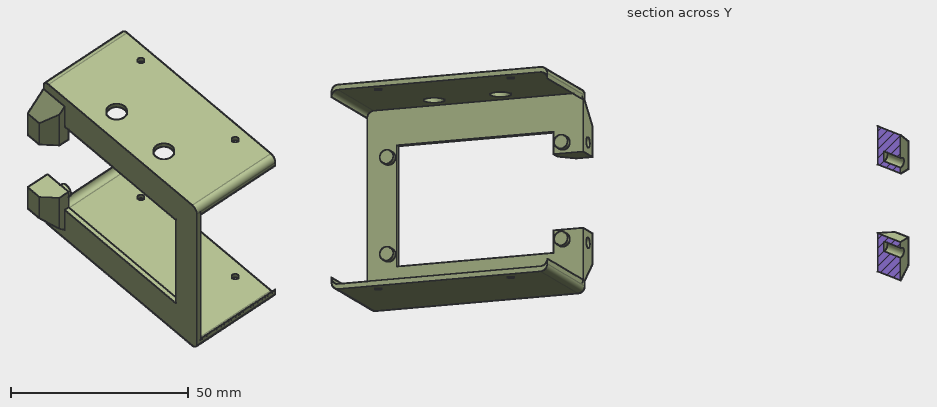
import cadquery as cq

width = 65.0
height = 59.0
body_depth = 29.5
wall = 1.5
corner_radius = 2.0

rail_height = 12.0
post_width = 9.0

lug_width = post_width
lug_reach = 6.0
lug_inset = 3.6
lug_end = 18.5
lug_chamfer = 4.0
lug_hole_diameter = 3.0
lug_hole_depth = 6.0
lug_hole_margin = 3.5

pin_diameter = 4.0
pin_length = 1.8
pin_inset_z = 15.55
pin_left_inset = 6.0
pin_right_inset = 6.5

screw_diameter = 2.0
screw_spacing = 40.0
screw_back_margin = 4.0
access_diameter = 6.0
access_spacing = 20.0
access_back_margin = 22.0

mid_x = width / 2


def rounded_block(block_height, y_start, y_end, z_start):
    """Full-width block whose edges along Y are rounded."""
    return (
        cq.Workplane("XY")
        .box(width, y_end - y_start, block_height, centered=False)
        .translate((0, y_start, z_start))
        .edges("|Y")
        .fillet(corner_radius)
    )


def make_frame():
    """Two shelves joined by a C-shaped front plate."""
    body = rounded_block(height, 0, body_depth, 0)
    cavity = rounded_block(height - 2 * wall, wall, body_depth, wall)
    opening = cq.Workplane("XY").box(
        width - post_width, wall, height - 2 * rail_height, centered=False
    ).translate((0, 0, rail_height))
    return body.cut(cavity).cut(opening)


def make_lower_lug():
    """Lug with a sloping outer end, a chamfered inner edge and a blind hole."""
    lug = (
        cq.Workplane("YZ")
        .moveTo(wall, lug_inset)
        .lineTo(0, lug_inset)
        .lineTo(-lug_reach, lug_inset + lug_reach)
        .lineTo(-lug_reach, lug_end)
        .lineTo(wall, lug_end)
        .close()
        .extrude(lug_width)
    )
    chamfer_cut = (
        cq.Workplane("XY")
        .moveTo(lug_width, -lug_reach)
        .lineTo(lug_width - lug_chamfer, -lug_reach)
        .lineTo(lug_width, -lug_reach + lug_chamfer)
        .close()
        .extrude(height)
    )
    hole = (
        cq.Workplane("YZ")
        .center(lug_hole_margin - lug_reach, lug_end - lug_hole_margin)
        .circle(lug_hole_diameter / 2)
        .extrude(lug_hole_depth)
    )
    return lug.cut(chamfer_cut).cut(hole)


def make_pins():
    """Four pins standing on the inner face, near the corners of the opening."""
    centers = [
        (x, z)
        for x in (pin_left_inset, width - pin_right_inset)
        for z in (pin_inset_z, height - pin_inset_z)
    ]
    return (
        cq.Workplane("XZ", origin=(0, wall, 0))
        .pushPoints(centers)
        .circle(pin_diameter / 2)
        .extrude(-pin_length)
    )


def make_hole_pair(diameter, spacing, back_margin, z_start):
    """Pair of vertical cutters, symmetric about the middle of the shelf."""
    y = body_depth - back_margin
    return (
        cq.Workplane("XY", origin=(0, 0, z_start))
        .pushPoints([(mid_x - spacing / 2, y), (mid_x + spacing / 2, y)])
        .circle(diameter / 2)
        .extrude(height)
    )


lower_lug = make_lower_lug()
upper_lug = lower_lug.mirror("XY", (0, 0, height / 2))

screw_holes = make_hole_pair(screw_diameter, screw_spacing, screw_back_margin, 0)
access_holes = make_hole_pair(access_diameter, access_spacing, access_back_margin, height / 2)

result = make_frame().union(lower_lug).union(upper_lug).union(make_pins())
result = result.cut(screw_holes).cut(access_holes)